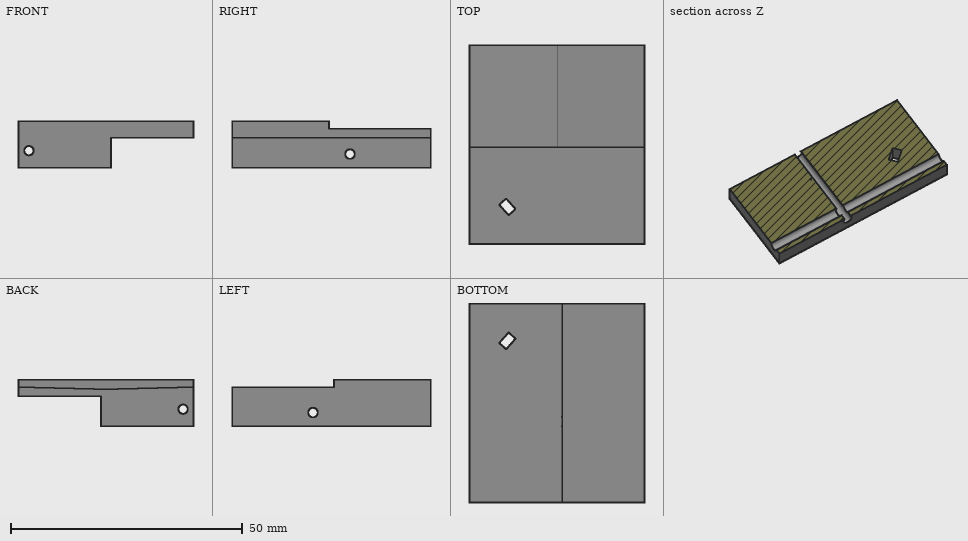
import cadquery as cq

width = 37.95
length = 43.05
height = 10.1

foot_width = 20.05
overhang_thickness = 3.6
front_length = 21.0
rear_drop = 1.6
valley_depth = 0.47

long_hole_diameter = 2.0
long_hole_x = 2.3
long_hole_z = 3.75
cross_hole_diameter = 2.02
cross_hole_y = 25.55
cross_hole_z = 3.0

window_x = 8.22
window_y = 8.05
window_length = 3.0
window_width = 2.0
window_angle = -48

body = cq.Workplane("XY").box(width, length, height, centered=False)

undercut = (
    cq.Workplane("XY")
    .box(width - foot_width, length, height - overhang_thickness, centered=False)
    .translate((foot_width, 0, 0))
)

rear_edge_z = height - rear_drop
rear_step = (
    cq.Workplane("XZ", origin=(0, front_length, 0))
    .moveTo(0, height)
    .lineTo(0, rear_edge_z)
    .lineTo(width / 2, rear_edge_z - valley_depth)
    .lineTo(width, rear_edge_z)
    .lineTo(width, height)
    .close()
    .extrude(front_length - length)
)

long_hole = (
    cq.Workplane("XZ")
    .center(long_hole_x, long_hole_z)
    .circle(long_hole_diameter / 2)
    .extrude(-length)
)

cross_hole = (
    cq.Workplane("YZ")
    .center(cross_hole_y, cross_hole_z)
    .circle(cross_hole_diameter / 2)
    .extrude(foot_width)
)

window = (
    cq.Workplane("XY")
    .center(window_x, window_y)
    .transformed(rotate=(0, 0, window_angle))
    .rect(window_length, window_width)
    .extrude(height)
)

result = body.cut(undercut).cut(rear_step).cut(long_hole).cut(cross_hole).cut(window)